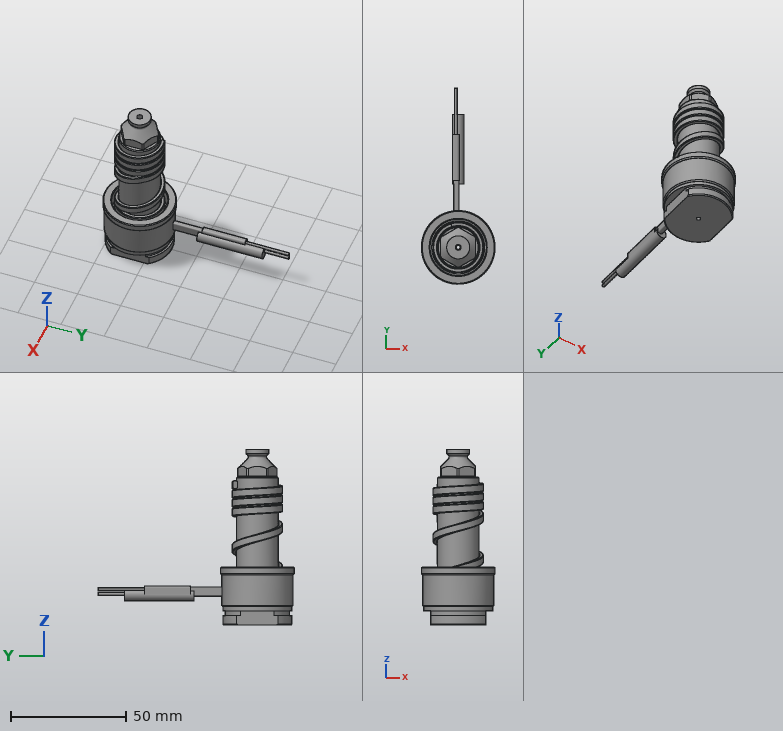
import cadquery as cq
import math

foot_radius = 15.0
foot_chamfer = 0.45
foot_top_z = 4.1
groove_radius = 14.0
groove_top_z = 6.15
across_foot_flats = 24.0
collar_radius = 15.0
collar_top_z = 8.0
body_radius = 15.5
lower_edge_chamfer = 0.6
flange_radius = 16.0
flange_bottom_z = 21.7
flange_top_z = 25.2
flange_top_chamfer = 0.4
recess_radius = 12.2
recess_ledge_z = 18.7
recess_inner_radius = 11.5
recess_floor_z = 15.7
recess_chamfer = 0.4

core_radius = 9.1
core_top_z = 64.15
core_chamfer = 0.45

neck_radius = 6.2
hex_bottom_z = 64.6
across_hex_flats = 15.2
hex_corner_radius = 8.53
waist_radius = 4.05
waist_top_z = 73.4
waist_corner_z = 72.4
waist_blend_length = 0.35
tip_radius = 5.0
tip_bottom_z = 74.4
tip_top_z = 76.2
bore_radius = 0.85
bore_mouth_radius = 1.25
bore_mouth_depth = 3.0

coil_outer_radius = 11.0
coil_embed = 0.3
band_height = 3.4
band_chamfer = 0.35
coil_end_angle = 107.0
coil_end_z = 60.9
tight_pitch = 3.95
open_pitch = 18.0
tight_angle = 1159.0
open_angle = 500.0

cable_x = -1.0
cable_z = 14.5
wire_radius = 0.68
wire_spacing = 2.05
wire_end_y = 69.0
sheath_x = -0.8
sheath_width = 2.3
sheath_height = 4.1
sheath_fillet = 0.55
sheath_start_y = 14.0
clip_width = 3.0
clip_height = 5.1
clip_fillet = 1.0
clip_start_y = 29.0
clip_end_y = 49.0
sleeve_radius = 2.53
sleeve_z = 13.08
sleeve_start_y = 27.4
sleeve_end_y = 57.7


def disc(radius, bottom_z, top_z):
    """Solid cylinder on the Z axis between two heights."""
    return cq.Workplane("XY").workplane(offset=bottom_z).circle(radius).extrude(top_z - bottom_z)


def make_foot():
    """Chamfered foot and the groove above it, both cut by two flats facing X."""
    foot = disc(foot_radius, 0, foot_top_z).faces("<Z").chamfer(foot_chamfer)
    foot = foot.union(disc(groove_radius, foot_top_z, groove_top_z))
    flats = cq.Workplane("XY").box(
        across_foot_flats, 2 * foot_radius, groove_top_z, centered=(True, True, False)
    )
    return foot.intersect(flats)


def make_base():
    """Foot, collar, body and flange, hollowed from above by the coil recess."""
    collar = disc(collar_radius, groove_top_z, collar_top_z)
    body = disc(body_radius, collar_top_z, flange_bottom_z).faces("<Z").chamfer(lower_edge_chamfer)
    flange = disc(flange_radius, flange_bottom_z, flange_top_z)
    flange = flange.faces("<Z").chamfer(lower_edge_chamfer).faces(">Z").chamfer(flange_top_chamfer)
    base = make_foot().union(collar).union(body).union(flange)
    base = base.cut(disc(recess_radius, recess_ledge_z, flange_top_z))
    base = base.cut(disc(recess_inner_radius, recess_floor_z, recess_ledge_z))
    rim = (
        cq.Workplane("XY")
        .workplane(offset=flange_top_z - recess_chamfer)
        .circle(recess_radius)
        .workplane(offset=recess_chamfer)
        .circle(recess_radius + recess_chamfer)
        .loft()
    )
    return base.cut(rim)


def make_nozzle():
    """Turned nozzle whose widest part is cut to a hexagon with flats facing X."""
    cone_bottom_z = waist_corner_z - (hex_corner_radius - waist_radius)
    blend_step = waist_blend_length * math.cos(math.radians(45))
    blend_end = (waist_radius + blend_step, waist_corner_z - blend_step)
    turned = (
        cq.Workplane("XZ")
        .moveTo(0, tip_top_z)
        .lineTo(tip_radius, tip_top_z)
        .lineTo(tip_radius, tip_bottom_z)
        .lineTo(waist_radius, waist_top_z)
        .lineTo(waist_radius, waist_corner_z + waist_blend_length)
        .tangentArcPoint(blend_end, relative=False)
        .lineTo(hex_corner_radius, cone_bottom_z)
        .lineTo(hex_corner_radius, hex_bottom_z)
        .lineTo(0, hex_bottom_z)
        .close()
        .revolve(360, (0, 0, 0), (0, 1, 0))
    )
    across_corners = across_hex_flats / math.cos(math.radians(30))
    hexagon = (
        cq.Workplane("XY")
        .workplane(offset=hex_bottom_z)
        .transformed(rotate=(0, 0, 30))
        .polygon(6, across_corners)
        .extrude(tip_top_z - hex_bottom_z)
    )
    neck = disc(neck_radius, core_top_z, hex_bottom_z)
    return turned.intersect(hexagon).union(neck)


def band_section():
    """Radial section of the band, centred on z = 0, with chamfered edges."""
    inner_radius = core_radius - coil_embed
    half_height = band_height / 2
    return (
        cq.Workplane("XZ")
        .moveTo(inner_radius, band_chamfer - half_height)
        .lineTo(core_radius, band_chamfer - half_height)
        .lineTo(core_radius + band_chamfer, -half_height)
        .lineTo(coil_outer_radius - band_chamfer, -half_height)
        .lineTo(coil_outer_radius, band_chamfer - half_height)
        .lineTo(coil_outer_radius, half_height - band_chamfer)
        .lineTo(coil_outer_radius - band_chamfer, half_height)
        .lineTo(core_radius + band_chamfer, half_height)
        .lineTo(core_radius, half_height - band_chamfer)
        .lineTo(inner_radius, half_height - band_chamfer)
        .close()
    )


def make_coil_run(start_angle, start_z, sweep_angle, pitch):
    """Helical stretch of band rising through sweep_angle degrees from its start."""
    helix = cq.Wire.makeHelix(pitch, pitch * sweep_angle / 360, coil_outer_radius)
    band = band_section().sweep(cq.Workplane(obj=helix), isFrenet=True)
    return band.rotate((0, 0, 0), (0, 0, 1), start_angle).translate((0, 0, start_z))


def make_wound_core():
    """Core with the band wound tight at the top and open below, ending in a flat closed turn."""
    tight_start_angle = coil_end_angle - tight_angle
    tight_start_z = coil_end_z - tight_pitch * tight_angle / 360
    open_start_angle = tight_start_angle - open_angle
    open_start_z = tight_start_z - open_pitch * open_angle / 360
    tight_run = make_coil_run(tight_start_angle, tight_start_z, tight_angle, tight_pitch)
    open_run = make_coil_run(open_start_angle, open_start_z, open_angle, open_pitch)
    flat_turn = band_section().revolve(360, (0, 0, 0), (0, 1, 0)).translate((0, 0, open_start_z))
    core = disc(core_radius, recess_floor_z, core_top_z).faces(">Z").chamfer(core_chamfer)
    return core.union(tight_run).union(open_run).union(flat_turn)


def rod(profile_x, profile_z, radius, start_y, end_y):
    """Round bar parallel to Y."""
    plane = cq.Workplane("XZ", origin=(profile_x, start_y, profile_z))
    return plane.circle(radius).extrude(start_y - end_y)


def rounded_bar(x, width, height, fillet, start_y, end_y):
    """Rectangular bar parallel to Y at cable height, with rounded long edges."""
    plane = cq.Workplane("XZ", origin=(x, start_y, cable_z))
    return plane.rect(width, height).extrude(start_y - end_y).edges("|Y").fillet(fillet)


def make_cable():
    """Flat sheath, clip, round sleeve and two wires."""
    cable = rounded_bar(sheath_x, sheath_width, sheath_height, sheath_fillet, sheath_start_y, clip_end_y)
    cable = cable.union(rounded_bar(cable_x, clip_width, clip_height, clip_fillet, clip_start_y, clip_end_y))
    cable = cable.union(rod(0, sleeve_z, sleeve_radius, sleeve_start_y, sleeve_end_y))
    for side in (-1, 1):
        wire_z = cable_z + side * wire_spacing / 2
        cable = cable.union(rod(cable_x, wire_z, wire_radius, clip_start_y, wire_end_y))
    return cable


def make_bore():
    """Through bore on the axis with a wider mouth at the tip."""
    mouth = disc(bore_mouth_radius, tip_top_z - bore_mouth_depth, tip_top_z)
    return disc(bore_radius, 0, tip_top_z).union(mouth)


result = (
    make_base()
    .union(make_wound_core())
    .union(make_nozzle())
    .union(make_cable())
    .cut(make_bore())
)